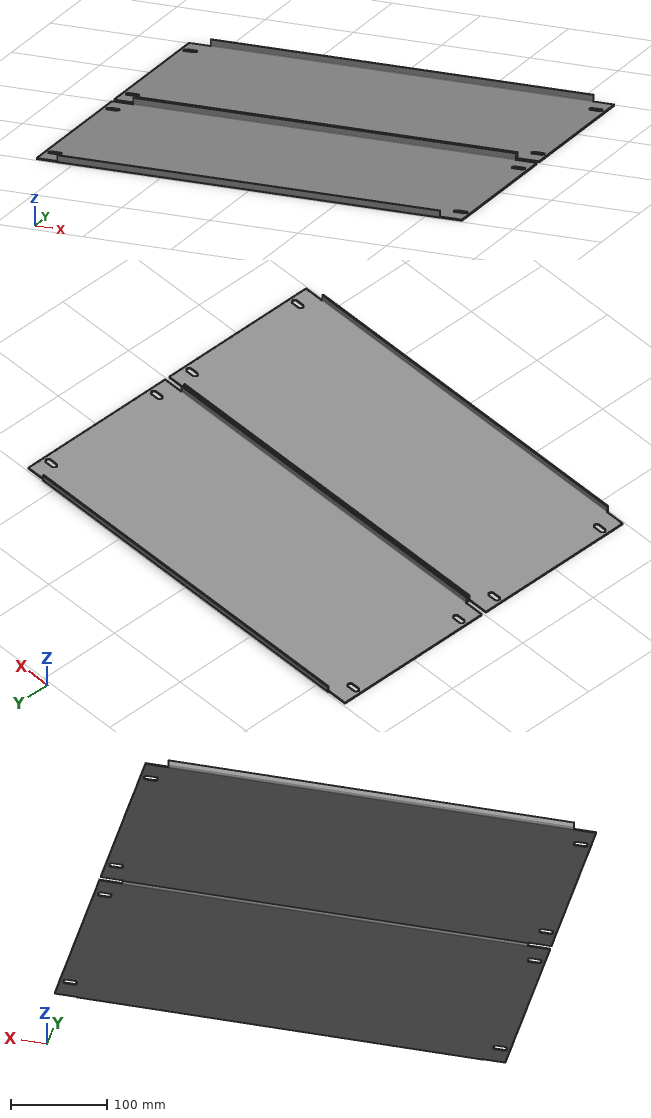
import cadquery as cq

panel_length = 482.0
pair_depth = 398.0
panel_gap = 2.0
panel_depth = (pair_depth - panel_gap) / 2
panel_pitch = panel_depth + panel_gap

sheet = 1.5
bend_radius = 2.0
flange_height = 8.0
flange_length = 434.0

plate_depth = panel_depth - 2 * bend_radius

slot_length = 15.0
slot_width = 6.5
slot_edge_distance = 11.0
slot_spacing_x = panel_length - 2 * slot_edge_distance
slot_spacing_y = 150.0


def flanged_strip():
    """Middle length of the panel, with both long edges bent upward."""
    outer = (
        cq.Workplane("XY")
        .box(flange_length, panel_depth, flange_height, centered=(True, True, False))
        .edges("|X and <Z")
        .fillet(bend_radius)
    )
    inner = (
        cq.Workplane("XY")
        .workplane(offset=sheet)
        .box(flange_length, panel_depth - 2 * sheet, flange_height, centered=(True, True, False))
        .edges("|X and <Z")
        .fillet(bend_radius - sheet)
    )
    return outer.cut(inner)


def mounting_slots():
    """Cutters for the four round-ended corner slots."""
    return (
        cq.Workplane("XY")
        .rect(slot_spacing_x, slot_spacing_y, forConstruction=True)
        .vertices()
        .slot2D(slot_length, slot_width)
        .extrude(sheet)
    )


def flanged_panel(center_y):
    """One panel with its underside at Z = 0."""
    plate = cq.Workplane("XY").box(panel_length, plate_depth, sheet, centered=(True, True, False))
    panel = plate.union(flanged_strip()).cut(mounting_slots())
    return panel.translate((0, center_y, 0))


panels = []
for side in (-1, 1):
    panels.append(flanged_panel(side * panel_pitch / 2).val())

result = cq.Compound.makeCompound(panels)